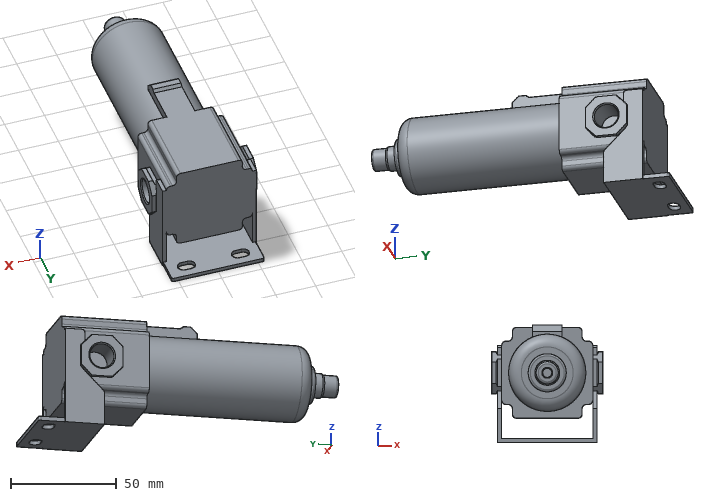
import cadquery as cq


body_size = 43.0
neck_half_width = 16.5
shoulder_height = 15.0
body_corner_radius = 2.0
body_back_y = 17.25
body_front_y = -24.0

bowl_radius = 18.25
bowl_end_y = -105.0
bowl_end_radius = 6.0
collar_radius = 9.0
collar_end_y = -108.0
collar_rounding = 1.0
stem_radius = 5.9
stem_taper_start_y = -112.0
stem_taper_end_y = -113.0
tip_radius = 5.25
tip_end_y = -120.0
tip_rounding = 1.0
drain_hole_radius = 2.15
drain_hole_depth = 8.0
drain_countersink = 0.4

latch_width = 14.0
latch_top_z = 22.67
latch_nose_z = 19.5
latch_base_z = 10.0
latch_ramp_start_y = -42.5
latch_ramp_end_y = -44.0
latch_nose_start_y = -47.5
latch_end_y = -50.75

port_face_x = 26.25
port_rim_thickness = 2.1
port_rim_half = 10.0
port_neck_half = 8.5
port_corner_sum = 15.0
port_bore_radius = 5.85
port_bore_depth = 15.0
port_countersink = 0.6

bracket_thickness = 2.0
bracket_inner_half = body_size / 2
bracket_outer_half = bracket_inner_half + bracket_thickness
bracket_bottom_z = -33.0
bracket_top_z = shoulder_height - body_corner_radius
bracket_upper_front_y = 7.8
bracket_front_y = -1.8
bracket_chamfer_along_y = 0.7
bracket_chamfer_along_z = 1.0
flange_end_y = 30.0
flange_half_width = 23.1
flange_corner_radius = 1.0
slot_center_y = 23.0
slot_spacing = 27.0
slot_length = 8.5
slot_width = 5.5


def box_between(x_range, y_range, z_range):
    size = [high - low for low, high in (x_range, y_range, z_range)]
    corner = (x_range[0], y_range[0], z_range[0])
    return cq.Workplane("XY").box(*size, centered=False).translate(corner)


def make_body():
    length = body_back_y - body_front_y
    back_plane = cq.Workplane("XZ", origin=(0, body_back_y, 0))
    wide = back_plane.rect(body_size, 2 * shoulder_height).extrude(length)
    tall = back_plane.rect(2 * neck_half_width, body_size).extrude(length)
    return wide.union(tall).edges("|Y").fillet(body_corner_radius)


def make_bowl_and_drain():
    diagonal = 0.5 ** 0.5

    def rounded_end(profile, radius, end_y, rounding):
        center_r = radius - rounding
        center_y = end_y + rounding
        middle = (center_r + rounding * diagonal, center_y - rounding * diagonal)
        return profile.lineTo(radius, center_y).threePointArc(middle, (center_r, end_y))

    profile = cq.Workplane("XY").lineTo(bowl_radius, 0)
    profile = rounded_end(profile, bowl_radius, bowl_end_y, bowl_end_radius)
    profile = profile.lineTo(collar_radius, bowl_end_y)
    profile = rounded_end(profile, collar_radius, collar_end_y, collar_rounding)
    profile = profile.lineTo(stem_radius, collar_end_y).lineTo(stem_radius, stem_taper_start_y)
    profile = profile.lineTo(tip_radius, stem_taper_end_y)
    profile = rounded_end(profile, tip_radius, tip_end_y, tip_rounding)
    profile = profile.lineTo(drain_hole_radius + drain_countersink, tip_end_y)
    profile = profile.lineTo(drain_hole_radius, tip_end_y + drain_countersink)
    profile = profile.lineTo(drain_hole_radius, tip_end_y + drain_hole_depth)
    profile = profile.lineTo(0, tip_end_y + drain_hole_depth)
    return profile.close().revolve(360, (0, 0, 0), (0, 1, 0))


def make_latch():
    body_top_z = body_size / 2
    outline = [
        (body_front_y, latch_base_z),
        (body_front_y, body_top_z),
        (latch_ramp_start_y, body_top_z),
        (latch_ramp_end_y, latch_top_z),
        (latch_nose_start_y, latch_top_z),
        (latch_end_y, latch_nose_z),
        (latch_end_y, latch_base_z),
    ]
    return cq.Workplane("YZ").polyline(outline).close().extrude(latch_width / 2, both=True)


def octagon(half):
    """Octagon corners (y, z) with flats at the given half size and the shared corner flats."""
    side = port_corner_sum - half
    return [
        (half, -side),
        (half, side),
        (side, half),
        (-side, half),
        (-half, side),
        (-half, -side),
        (-side, -half),
        (side, -half),
    ]


def make_port():
    """Port on the +X side: neck, bevelled back of the rim, and rim."""
    rim_back_x = port_face_x - port_rim_thickness
    neck_plane = cq.Workplane("YZ", origin=(neck_half_width, 0, 0))
    neck = neck_plane.polyline(octagon(port_neck_half)).close().extrude(bracket_outer_half - neck_half_width)
    bevel = (
        cq.Workplane("YZ", origin=(bracket_outer_half, 0, 0))
        .polyline(octagon(port_neck_half)).close()
        .workplane(offset=rim_back_x - bracket_outer_half)
        .polyline(octagon(port_rim_half)).close()
        .loft(ruled=True)
    )
    rim_plane = cq.Workplane("YZ", origin=(rim_back_x, 0, 0))
    rim = rim_plane.polyline(octagon(port_rim_half)).close().extrude(port_rim_thickness)
    return neck.union(bevel).union(rim)


def make_port_bore():
    """Countersunk blind bore cut into the +X port."""
    outline = [
        (port_face_x, 0),
        (port_face_x, port_bore_radius + port_countersink),
        (port_face_x - port_countersink, port_bore_radius),
        (port_face_x - port_bore_depth, port_bore_radius),
        (port_face_x - port_bore_depth, 0),
    ]
    return cq.Workplane("XY").polyline(outline).close().revolve(360, (0, 0, 0), (1, 0, 0))


def make_bracket_side():
    """Side plate at +X, stepped back so that its front edge clears the port."""
    outline = [
        (body_back_y, bracket_bottom_z),
        (body_back_y, bracket_top_z),
        (bracket_upper_front_y + bracket_chamfer_along_y, bracket_top_z),
        (bracket_upper_front_y, bracket_top_z - bracket_chamfer_along_z),
        (bracket_upper_front_y, bracket_upper_front_y - port_corner_sum),
        (bracket_front_y, bracket_front_y - port_corner_sum),
        (bracket_front_y, bracket_bottom_z),
    ]
    plane = cq.Workplane("YZ", origin=(bracket_inner_half, 0, 0))
    return plane.polyline(outline).close().extrude(bracket_thickness)


def make_bracket_base():
    """Bottom plate plus the slotted mounting flange behind the body."""
    base_z = (bracket_bottom_z, bracket_bottom_z + bracket_thickness)
    plate_x = (-bracket_outer_half, bracket_outer_half)
    flange_x = (-flange_half_width, flange_half_width)
    plate = box_between(plate_x, (bracket_front_y, body_back_y), base_z)
    flange = box_between(flange_x, (body_back_y, flange_end_y), base_z)
    flange = flange.edges("|Z and >Y").fillet(flange_corner_radius)
    slots = (
        cq.Workplane("XY", origin=(0, slot_center_y, bracket_bottom_z))
        .pushPoints([(-slot_spacing / 2, 0), (slot_spacing / 2, 0)])
        .slot2D(slot_length, slot_width)
        .extrude(bracket_thickness)
    )
    return plate.union(flange).cut(slots)


result = make_body().union(make_bowl_and_drain()).union(make_latch()).union(make_bracket_base())

for side_part in (make_port(), make_bracket_side()):
    result = result.union(side_part).union(side_part.mirror("YZ"))

port_bore = make_port_bore()
result = result.cut(port_bore).cut(port_bore.mirror("YZ"))